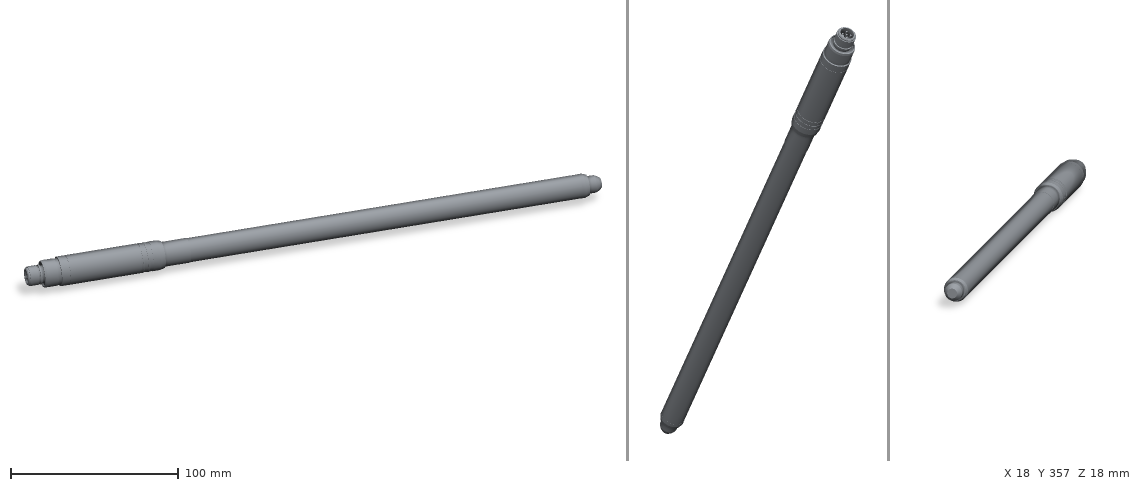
import cadquery as cq

LENGTH = 357.03

CONNECTOR_DIA = 12.0
LEAD_IN_DIA = 11.0
LEAD_IN_LENGTH = 1.4
LEAD_IN_CHAMFER = 0.6
NECK_DIA = 10.6
NECK_START = 6.6
NECK_END = 9.8
SEAL_DIA = 12.0
SEAL_START = 7.7
SEAL_END = 8.7

SOCKET_DIA = 8.5
SOCKET_DEPTH = 6.0
PIN_DIA = 1.0
PIN_LENGTH = 5.0
PIN_CIRCLE_DIA = 5.0
OUTER_PIN_COUNT = 4
KEY_DIA = 2.0
KEY_ANGLE = 225.0

COLLAR_DIA = 16.6
COLLAR_FACE_DIA = 16.0
COLLAR_EDGE = 11.2
COLLAR_END = 18.0
RELIEF_DIA = 16.2
COLLAR_RECESS_DIA = 14.7
COLLAR_RECESS_DEPTH = 1.0

HANDLE_DIA = 18.0
HANDLE_START = 20.0
JOINT_START = 25.0
JOINT_WIDTH = 0.3
GROOVE_DIA = 17.6
GROOVE_SPANS = ((69.4, 70.4), (71.4, 73.7), (74.7, 77.0))
HANDLE_CONE_START = 81.3
HANDLE_END = 84.5
HANDLE_CONE_DIA = 16.6

SLEEVE_DIA = 15.0
SLEEVE_END = 100.5
TUBE_DIA = 14.55

END_CAP_DIA = 14.7
END_CAP_LENGTH = 2.3
END_CONE_DIA = 12.8
END_CONE_LENGTH = 2.6
TIP_DIA = 10.6
TIP_LENGTH = 8.3
NOSE_LENGTH = 3.7
NOSE_END_DIA = 6.0
NOSE_MIDDLE_DIA = 8.9


def revolve_outline(outline):
    """Revolve a closed outline, X being the radius, about the Y axis."""
    return outline.close().revolve(360, (0, 0, 0), (0, 1, 0))


def cone(start, end, start_dia, end_dia):
    outline = (
        cq.Workplane("XY")
        .moveTo(0, start)
        .lineTo(start_dia / 2, start)
        .lineTo(end_dia / 2, end)
        .lineTo(0, end)
    )
    return revolve_outline(outline)


def cylinder(start, end, dia):
    return cone(start, end, dia, dia)


def connector_shell():
    shell = cone(0, LEAD_IN_CHAMFER, LEAD_IN_DIA - 2 * LEAD_IN_CHAMFER, LEAD_IN_DIA)
    shell = shell.union(cylinder(LEAD_IN_CHAMFER, LEAD_IN_LENGTH, LEAD_IN_DIA))
    shell = shell.union(cylinder(LEAD_IN_LENGTH, NECK_START, CONNECTOR_DIA))
    shell = shell.union(cylinder(NECK_START, NECK_END, NECK_DIA))
    shell = shell.union(cylinder(SEAL_START, SEAL_END, SEAL_DIA))
    return shell.cut(cylinder(0, SOCKET_DEPTH, SOCKET_DIA))


def connector_pins():
    floor = cq.Workplane("XZ", origin=(0, SOCKET_DEPTH, 0))
    pin_circle = floor.polarArray(PIN_CIRCLE_DIA / 2, 0, 360, OUTER_PIN_COUNT)
    outer = pin_circle.circle(PIN_DIA / 2).extrude(PIN_LENGTH)
    centre = floor.circle(PIN_DIA / 2).extrude(PIN_LENGTH)
    return outer.union(centre)


def coding_key():
    """Rounded rib along the socket wall."""
    floor = cq.Workplane("XZ", origin=(0, SOCKET_DEPTH, 0))
    rib = floor.polarArray(SOCKET_DIA / 2, KEY_ANGLE, 360, 1).circle(KEY_DIA / 2).extrude(SOCKET_DEPTH)
    return rib.intersect(cylinder(0, SOCKET_DEPTH, SOCKET_DIA))


def collar():
    """Collar with a recess in its face around the connector neck."""
    body = cone(NECK_END, COLLAR_EDGE, COLLAR_FACE_DIA, COLLAR_DIA)
    body = body.union(cylinder(COLLAR_EDGE, COLLAR_END, COLLAR_DIA))
    body = body.union(cylinder(COLLAR_END, HANDLE_START, RELIEF_DIA))
    recess_end = NECK_END + COLLAR_RECESS_DEPTH
    recess = cylinder(NECK_END, recess_end, COLLAR_RECESS_DIA).cut(cylinder(NECK_END, recess_end, NECK_DIA))
    return body.cut(recess)


def ring_groove(start, end):
    return cylinder(start, end, HANDLE_DIA).cut(cylinder(start, end, GROOVE_DIA))


def handle():
    body = cylinder(HANDLE_START, HANDLE_CONE_START, HANDLE_DIA)
    body = body.union(cone(HANDLE_CONE_START, HANDLE_END, HANDLE_DIA, HANDLE_CONE_DIA))
    body = body.cut(ring_groove(JOINT_START, JOINT_START + JOINT_WIDTH))
    for start, end in GROOVE_SPANS:
        body = body.cut(ring_groove(start, end))
    return body


def nose():
    start = LENGTH - NOSE_LENGTH
    outline = (
        cq.Workplane("XY")
        .moveTo(0, start)
        .lineTo(TIP_DIA / 2, start)
        .threePointArc((NOSE_MIDDLE_DIA / 2, LENGTH - NOSE_LENGTH / 2), (NOSE_END_DIA / 2, LENGTH))
        .lineTo(0, LENGTH)
    )
    return revolve_outline(outline)


def shaft():
    tip_start = LENGTH - TIP_LENGTH
    end_cone_start = tip_start - END_CONE_LENGTH
    end_cap_start = end_cone_start - END_CAP_LENGTH
    body = cylinder(HANDLE_END, SLEEVE_END, SLEEVE_DIA)
    body = body.union(cylinder(SLEEVE_END, end_cap_start, TUBE_DIA))
    body = body.union(cylinder(end_cap_start, end_cone_start, END_CAP_DIA))
    body = body.union(cone(end_cone_start, tip_start, END_CAP_DIA, END_CONE_DIA))
    body = body.union(cylinder(tip_start, LENGTH - NOSE_LENGTH, TIP_DIA))
    return body.union(nose())


connector = connector_shell().union(connector_pins()).union(coding_key())
result = connector.union(collar()).union(handle()).union(shaft())